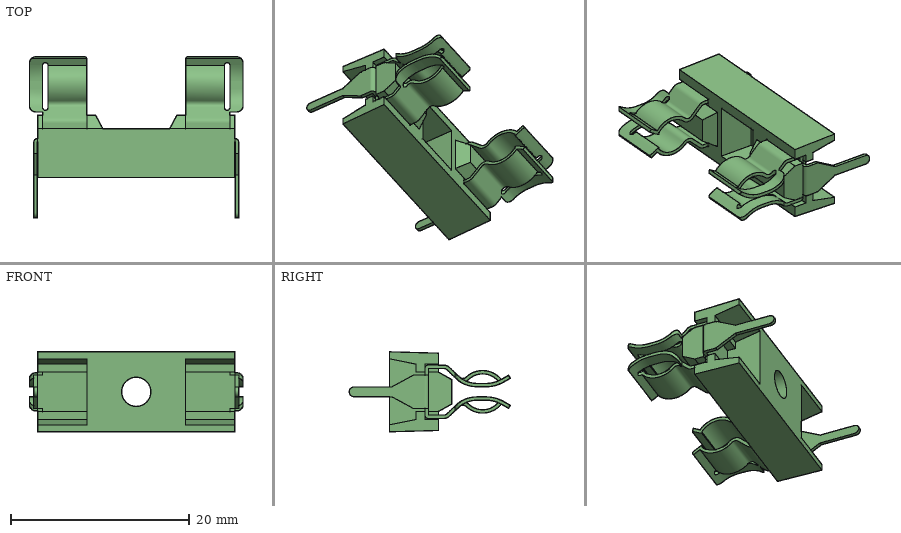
import cadquery as cq
import math

BODY_LENGTH = 22.1
BODY_DEPTH = 5.5
BODY_FRONT_HALF_HEIGHT = 4.5
BODY_BACK_HALF_HEIGHT = 4.35
HOLE_DIAMETER = 3.25

RECESS_LENGTH = 5.5
RECESS_DEPTH = 3.0
RECESS_FRONT_HALF_HEIGHT = 3.7
SEAT_Y = 4.0
SEAT_HALF_HEIGHT = 3.1
WINDOW_HALF_HEIGHT = 2.22

SCREW_WEB = 1.37
SCREW_RECESS_HALF_LENGTH = 3.0

GUIDE_TOP_Y = 7.0
GUIDE_TOP_HALF_HEIGHT = 1.37
GUIDE_INNER_X = 3.75
GUIDE_TOP_INNER_X = 4.55

SHEET = 0.4
CLIP_INNER_X = 5.55
CLIP_OUTER_X = 10.5
ARM_HALF_HEIGHT = 3.0
BASE_CORNER_RADIUS = 0.35
CLIP_TIP_Y = 13.56

ARM_STRAIGHT_END_Y = 6.11
ARM_ANGLE = 43.5
SHOULDER_RADIUS = 0.66
VALLEY_RADIUS = 0.74
GRIP_RADIUS = 2.48
GRIP_PEAK_Z = 2.2
GRIP_END_ANGLE = 58.0

STOP_OUTER_X = 12.0
STOP_START_Y = 7.35
STOP_CORNER_RADIUS = 0.75
STOP_EASE_RADIUS = 1.9
STOP_ENTRY_RADIUS = 3.5
STOP_EXIT_RADIUS = 3.8
STOP_ANGLE = 30.0
STOP_FLAT_Z = 0.75
STOP_FLAT_LENGTH = 0.95
FLARE_START_Y = 12.32
FLARE_CORNER_RADIUS = 0.25

SLOT_INNER_X = 9.9
SLOT_START_Y = 7.56
SLOT_END_Y = 12.88

TAIL_OUTER_X = 11.5
TAIL_HALF_WIDTH = 1.87
TAIL_TAPER_START_Y = 2.68
TAIL_TAPER_END_Y = 0.27
PIN_HALF_WIDTH = 0.56
PIN_TIP_Y = -4.53
TAIL_INNER_BEND_RADIUS = 0.05

HALF_LENGTH = BODY_LENGTH / 2
SLOT_MIDDLE_X = (SLOT_INNER_X + CLIP_OUTER_X) / 2


def box(x0, x1, y0, y1, z0, z1):
    return cq.Workplane("XY").box(x1 - x0, y1 - y0, z1 - z0, centered=False).translate((x0, y0, z0))


def prism_x(profile, x0, x1):
    """Extrude a closed YZ profile from x0 to x1."""
    return profile.extrude(x1 - x0).translate((x0, 0, 0))


def mirrored_polygon(points):
    """Closed YZ outline from its +Z half, mirrored about Z = 0."""
    lower = [(y, -z) for y, z in reversed(points)]
    return cq.Workplane("YZ").polyline(points + lower).close()


def offset_point(center, heading, distance):
    """Point at a distance to the left of the given heading."""
    angle = math.radians(heading)
    return (center[0] - distance * math.sin(angle), center[1] + distance * math.cos(angle))


def bent_strip(start, segments):
    """Closed YZ profile of a bent sheet.

    Each segment is (length, 0) for a straight or (middle radius, turn angle) for a bend,
    with positive angles turning towards +Z. The strip sets out along +Y.
    """
    half = SHEET / 2
    stations = []
    place = start
    heading = 0.0
    for size, turn in segments:
        before = (place, heading)
        if turn == 0:
            angle = math.radians(heading)
            place = (place[0] + size * math.cos(angle), place[1] + size * math.sin(angle))
            middle = None
        else:
            radius = math.copysign(size, turn)
            center = offset_point(place, heading, radius)
            middle = (offset_point(center, heading + turn / 2, -radius), heading + turn / 2)
            heading += turn
            place = offset_point(center, heading, -radius)
        stations.append((before, middle, (place, heading)))

    profile = cq.Workplane("YZ").moveTo(*offset_point(*stations[0][0], half))
    for _, middle, after in stations:
        if middle is None:
            profile = profile.lineTo(*offset_point(*after, half))
        else:
            profile = profile.threePointArc(offset_point(*middle, half), offset_point(*after, half))
    profile = profile.lineTo(*offset_point(*stations[-1][2], -half))
    for before, middle, _ in reversed(stations):
        if middle is None:
            profile = profile.lineTo(*offset_point(*before, -half))
        else:
            profile = profile.threePointArc(offset_point(*middle, -half), offset_point(*before, -half))
    return profile.close()


def bend_rise(radius, angle_a, angle_b):
    """Height change along a bend between two slopes."""
    return radius * abs(math.cos(math.radians(angle_a)) - math.cos(math.radians(angle_b)))


def bend_run(radius, angle_a, angle_b):
    """Advance along Y over a bend between two slopes."""
    return radius * abs(math.sin(math.radians(angle_a)) - math.sin(math.radians(angle_b)))


def arm_start():
    """Middle of the sheet where the upper arm leaves the clip base."""
    return (SEAT_Y, ARM_HALF_HEIGHT - SHEET / 2)


def arm_root():
    """Straight and shoulder bend shared by the grip and the end stop."""
    return [(ARM_STRAIGHT_END_Y - SEAT_Y, 0), (SHOULDER_RADIUS, -ARM_ANGLE)]


def slope_length(drop):
    """Length of the sloping straight that descends by the given drop."""
    return drop / math.sin(math.radians(ARM_ANGLE))


def grip_profile():
    """Arm profile that bows outwards around the fuse."""
    drop = arm_start()[1] - GRIP_PEAK_Z
    drop -= bend_rise(SHOULDER_RADIUS, 0, ARM_ANGLE)
    drop += bend_rise(GRIP_RADIUS, 0, ARM_ANGLE)
    segments = arm_root() + [
        (slope_length(drop), 0),
        (VALLEY_RADIUS, 2 * ARM_ANGLE),
        (GRIP_RADIUS, -ARM_ANGLE - GRIP_END_ANGLE),
    ]
    return bent_strip(arm_start(), segments)


def stop_profile():
    """Arm profile that bows inwards and ends in the lead-in flare."""
    drop = arm_start()[1] - STOP_FLAT_Z
    drop -= bend_rise(SHOULDER_RADIUS, 0, ARM_ANGLE)
    drop -= bend_rise(STOP_EASE_RADIUS, STOP_ANGLE, ARM_ANGLE)
    drop -= bend_rise(STOP_ENTRY_RADIUS, 0, STOP_ANGLE)
    flare_start_y = ARM_STRAIGHT_END_Y + STOP_FLAT_LENGTH
    flare_start_y += bend_run(SHOULDER_RADIUS, 0, ARM_ANGLE)
    flare_start_y += drop / math.tan(math.radians(ARM_ANGLE))
    flare_start_y += bend_run(STOP_EASE_RADIUS, STOP_ANGLE, ARM_ANGLE)
    flare_start_y += bend_run(STOP_ENTRY_RADIUS + STOP_EXIT_RADIUS, 0, STOP_ANGLE)
    flare_angle = math.radians(STOP_ANGLE)
    flare_end_y = CLIP_TIP_Y - SHEET / 2 * math.sin(flare_angle)
    flare_length = (flare_end_y - flare_start_y) / math.cos(flare_angle)
    segments = arm_root() + [
        (slope_length(drop), 0),
        (STOP_EASE_RADIUS, ARM_ANGLE - STOP_ANGLE),
        (STOP_ENTRY_RADIUS, STOP_ANGLE),
        (STOP_FLAT_LENGTH, 0),
        (STOP_EXIT_RADIUS, STOP_ANGLE),
        (flare_length, 0),
    ]
    return bent_strip(arm_start(), segments)


def stop_outline():
    """Solid that trims the end-stop sheet to its plan outline."""
    height = ARM_HALF_HEIGHT
    root = box(SLOT_MIDDLE_X, CLIP_OUTER_X, SEAT_Y, CLIP_TIP_Y, 0, height)
    strip = box(SLOT_MIDDLE_X, STOP_OUTER_X, STOP_START_Y, CLIP_TIP_Y, 0, height)
    strip = strip.edges("|Z and >X").fillet(STOP_CORNER_RADIUS)
    flare = box(CLIP_INNER_X, SLOT_MIDDLE_X, FLARE_START_Y, CLIP_TIP_Y, 0, height)
    flare = flare.edges("|Z and <X and >Y").fillet(FLARE_CORNER_RADIUS)
    return root.union(strip).union(flare)


def clip_arm():
    """Upper arm of the +X clip."""
    grip = prism_x(grip_profile(), CLIP_INNER_X, SLOT_MIDDLE_X)
    stop = prism_x(stop_profile(), CLIP_INNER_X, STOP_OUTER_X).intersect(stop_outline())
    slot = (
        cq.Workplane("XY")
        .center(SLOT_MIDDLE_X, (SLOT_START_Y + SLOT_END_Y) / 2)
        .slot2D(SLOT_END_Y - SLOT_START_Y, CLIP_OUTER_X - SLOT_INNER_X, 90)
        .extrude(ARM_HALF_HEIGHT)
    )
    return grip.union(stop).cut(slot)


def clip_base():
    return box(CLIP_INNER_X, CLIP_OUTER_X, SEAT_Y, SEAT_Y + SHEET, -ARM_HALF_HEIGHT, ARM_HALF_HEIGHT)


def solder_tail():
    base_back_y = SEAT_Y + SHEET
    pin_end_y = PIN_TIP_Y + PIN_HALF_WIDTH
    outline = (
        cq.Workplane("YZ")
        .moveTo(base_back_y, TAIL_HALF_WIDTH)
        .lineTo(TAIL_TAPER_START_Y, TAIL_HALF_WIDTH)
        .lineTo(TAIL_TAPER_END_Y, PIN_HALF_WIDTH)
        .lineTo(pin_end_y, PIN_HALF_WIDTH)
        .threePointArc((PIN_TIP_Y, 0), (pin_end_y, -PIN_HALF_WIDTH))
        .lineTo(TAIL_TAPER_END_Y, -PIN_HALF_WIDTH)
        .lineTo(TAIL_TAPER_START_Y, -TAIL_HALF_WIDTH)
        .lineTo(base_back_y, -TAIL_HALF_WIDTH)
        .close()
    )
    tail = prism_x(outline, TAIL_OUTER_X - SHEET, TAIL_OUTER_X)
    bridge = box(
        CLIP_INNER_X, TAIL_OUTER_X - SHEET, SEAT_Y, base_back_y, -TAIL_HALF_WIDTH, TAIL_HALF_WIDTH
    )
    tail = tail.union(bridge)
    tail = tail.edges("|Z and >X and >Y").fillet(TAIL_INNER_BEND_RADIUS + SHEET)
    inner_corner = cq.selectors.NearestToPointSelector((TAIL_OUTER_X - SHEET, SEAT_Y, 0))
    return tail.edges("|Z").edges(inner_corner).fillet(TAIL_INNER_BEND_RADIUS)


def clip():
    """Complete clip at the +X end."""
    arm = clip_arm()
    bends = clip_base().union(arm).union(arm.mirror("XY"))
    corner = cq.selectors.BoxSelector(
        (CLIP_INNER_X - SHEET, SEAT_Y - SHEET / 2, -SEAT_HALF_HEIGHT),
        (CLIP_OUTER_X + SHEET, SEAT_Y + SHEET / 2, SEAT_HALF_HEIGHT),
    )
    bends = bends.edges("|X and (>Z or <Z)").edges(corner).fillet(BASE_CORNER_RADIUS)
    return bends.union(solder_tail())


def end_recess():
    """Space cut from the +X end: tapered front pocket, window and clip seat."""
    x0 = HALF_LENGTH - RECESS_LENGTH
    pocket = mirrored_polygon([(0, RECESS_FRONT_HALF_HEIGHT), (RECESS_DEPTH, SEAT_HALF_HEIGHT)])
    window = box(x0, HALF_LENGTH, RECESS_DEPTH, SEAT_Y, -WINDOW_HALF_HEIGHT, WINDOW_HALF_HEIGHT)
    seat = box(x0, HALF_LENGTH, SEAT_Y, BODY_DEPTH, -SEAT_HALF_HEIGHT, SEAT_HALF_HEIGHT)
    return prism_x(pocket, x0, HALF_LENGTH).union(window).union(seat)


def guide_block():
    """Block on the +X side, from the clip base up to its chamfered top."""
    outline = mirrored_polygon(
        [
            (SEAT_Y + SHEET, WINDOW_HALF_HEIGHT),
            (BODY_DEPTH, WINDOW_HALF_HEIGHT),
            (GUIDE_TOP_Y, GUIDE_TOP_HALF_HEIGHT),
        ]
    )
    side = (
        cq.Workplane("XY")
        .polyline(
            [
                (GUIDE_INNER_X, SEAT_Y),
                (HALF_LENGTH, SEAT_Y),
                (HALF_LENGTH, GUIDE_TOP_Y),
                (GUIDE_TOP_INNER_X, GUIDE_TOP_Y),
                (GUIDE_INNER_X, BODY_DEPTH),
            ]
        )
        .close()
        .extrude(WINDOW_HALF_HEIGHT, both=True)
    )
    return prism_x(outline, GUIDE_INNER_X, HALF_LENGTH).intersect(side)


def body():
    shell = mirrored_polygon([(0, BODY_FRONT_HALF_HEIGHT), (BODY_DEPTH, BODY_BACK_HALF_HEIGHT)])
    block = prism_x(shell, -HALF_LENGTH, HALF_LENGTH)
    hole = cq.Workplane("XZ").circle(HOLE_DIAMETER / 2).extrude(-BODY_DEPTH)
    screw_recess = box(
        -SCREW_RECESS_HALF_LENGTH, SCREW_RECESS_HALF_LENGTH,
        SCREW_WEB, BODY_DEPTH,
        -SEAT_HALF_HEIGHT, SEAT_HALF_HEIGHT,
    )
    return block.cut(hole).cut(screw_recess)


def assemble():
    part = body()
    recess = end_recess()
    end = guide_block().union(clip())
    part = part.cut(recess).cut(recess.mirror("YZ"))
    return part.union(end).union(end.mirror("YZ"))


result = assemble()